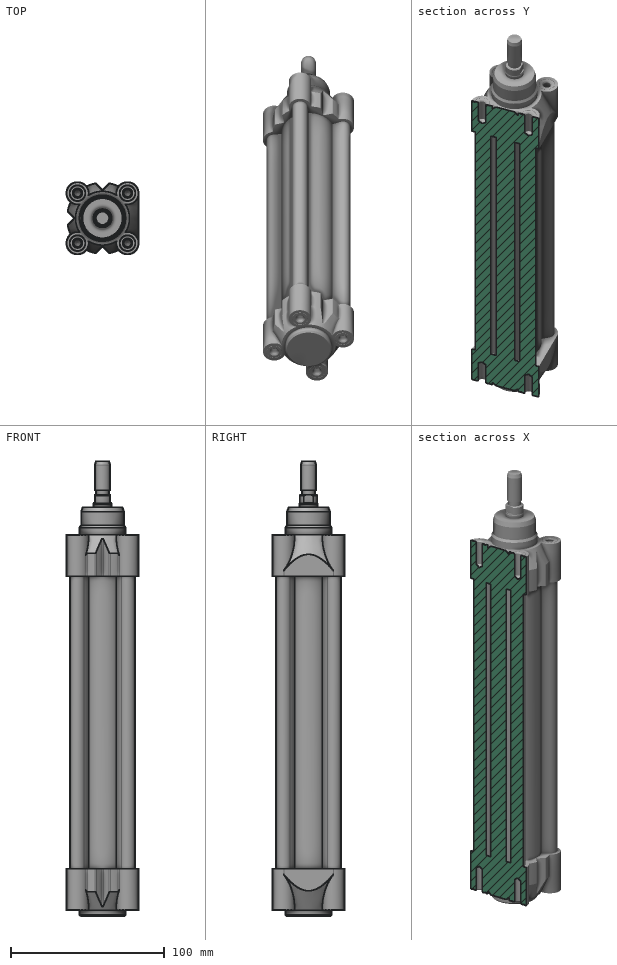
import cadquery as cq
import math


body_length = 244.0
head_length = 27.0
front_face_z = body_length
barrel_length = body_length - 2 * head_length

head_width = 47.0
screw_spacing = 32.5
boss_radius = (head_width - screw_spacing) / 2
head_core_radius = 23.2
corner_fillet = 0.8
cone_top_radius = 17.5
cone_length = 12.0
notch_vertex = 18.3
notch_half_angle = 45.0
sharp_side_x = 14.0

screw_head_diameter = 10.0
counterbore_diameter = 10.3
screw_gap_depth = 0.5
thread_diameter = 4.92
thread_mouth_diameter = 6.3
thread_depth = 16.0
drill_point_angle = 118.0

barrel_radius = 17.6
lobe_radius = 5.0
web_outer_x = 12.1
web_inner_x = 9.1

collar_diameter = 30.0
rear_collar_length = 4.0
collar_chamfer = 1.0
front_collar_length = 4.7
shoulder_length = 1.6
nose_diameter = 28.0
nose_top_diameter = 26.0
nose_bevel_length = 3.0
nose_height = 18.0

rod_diameter = 12.0
rod_insertion = head_length
rod_shoulder_height = 26.0
neck_edge_chamfer = 0.5
neck_diameter = 11.6
neck_length = 5.4
neck_taper_length = 0.6
thread_end_length = 22.0
thread_end_diameter = 10.0
undercut_diameter = 8.57
undercut_length = 3.0
tip_diameter = 8.57
tip_bevel_length = 2.4
flats_width = 10.0
flats_length = 5.0


def revolved(points):
    """Solid of revolution about Z from (radius, z) points."""
    return cq.Workplane("XZ").polyline(points).close().revolve(360, (0, 0, 0), (0, 1, 0))


def cylinder(radius, z, length):
    return cq.Workplane("XY").workplane(offset=z).circle(radius).extrude(length)


def corner_bosses(radius, z, length):
    return (cq.Workplane("XY").workplane(offset=z)
            .rect(screw_spacing, screw_spacing, forConstruction=True).vertices()
            .circle(radius).extrude(length))


def make_v_notch():
    """V-shaped groove along the middle of the -Y side of a head."""
    depth = boss_radius
    half_width = depth * math.tan(math.radians(notch_half_angle))
    return (cq.Workplane("XY")
            .moveTo(0, -notch_vertex)
            .lineTo(half_width, -notch_vertex - depth)
            .lineTo(-half_width, -notch_vertex - depth)
            .close().extrude(head_length))


def make_screw_socket():
    """Threaded hole with conical mouth and drill point, and the gap around the screw head."""
    thread_radius = thread_diameter / 2
    mouth_radius = thread_mouth_diameter / 2
    mouth_depth = mouth_radius - thread_radius
    point_depth = thread_radius / math.tan(math.radians(drill_point_angle / 2))
    hole = revolved([
        (0, 0),
        (mouth_radius, 0),
        (thread_radius, -mouth_depth),
        (thread_radius, -thread_depth),
        (0, -thread_depth - point_depth),
    ])
    gap = (cq.Workplane("XY").circle(counterbore_diameter / 2).circle(screw_head_diameter / 2)
           .extrude(-screw_gap_depth))
    return hole.add(gap).combine()


def make_head_outline():
    """Full-length head with rounded corners along Z, before the bevel."""
    outline = cylinder(head_core_radius, 0, head_length)
    for angle in (0, -90, 180):
        outline = outline.cut(make_v_notch().rotate((0, 0, 0), (0, 0, 1), angle))
    outline = outline.union(corner_bosses(boss_radius, 0, head_length))
    flat_side = cq.Workplane("XY").box(
        head_width / 2, screw_spacing, head_length, centered=(False, True, False))
    rounded_side = cq.selectors.BoxSelector(
        (-head_width, -head_width, -head_length),
        (sharp_side_x, head_width, 2 * head_length))
    return outline.union(flat_side).edges("|Z").edges(rounded_side).fillet(corner_fillet)


def make_head():
    """Head with its mounting face up at Z = head_length and its barrel side at Z = 0."""
    cone_slope = (head_core_radius - cone_top_radius) / cone_length
    rim_depth = (head_width - cone_top_radius) / cone_slope
    bevel = revolved([
        (cone_top_radius, head_length),
        (head_width, head_length),
        (head_width, head_length - rim_depth),
    ])
    bevel = bevel.cut(corner_bosses(boss_radius, -head_length, 2 * head_length))
    head = make_head_outline().cut(bevel)
    socket = make_screw_socket()
    for x in (-screw_spacing / 2, screw_spacing / 2):
        for y in (-screw_spacing / 2, screw_spacing / 2):
            head = head.cut(socket.translate((x, y, head_length)))
    return head


def make_barrel():
    """Round barrel with four corner lobes joined to it by sloping webs."""
    center = screw_spacing / 2
    lobe_y = center + math.sqrt(lobe_radius ** 2 - (center - web_outer_x) ** 2)
    barrel_y = math.sqrt(barrel_radius ** 2 - web_inner_x ** 2)
    barrel = cylinder(barrel_radius, 0, barrel_length)
    barrel = barrel.union(corner_bosses(lobe_radius, 0, barrel_length))
    web = (cq.Workplane("XY")
           .polyline([
               (0, 0),
               (barrel_y, web_inner_x),
               (lobe_y, web_outer_x),
               (center, center),
               (web_outer_x, lobe_y),
               (web_inner_x, barrel_y),
           ])
           .close().extrude(barrel_length))
    for quarter in range(4):
        barrel = barrel.union(web.rotate((0, 0, 0), (0, 0, 1), 90 * quarter))
    return barrel


def make_front_collar():
    """Collar, conical shoulder and bevelled nose, standing on Z = 0."""
    return revolved([
        (0, 0),
        (collar_diameter / 2, 0),
        (collar_diameter / 2, front_collar_length),
        (nose_diameter / 2, front_collar_length + shoulder_length),
        (nose_diameter / 2, nose_height - nose_bevel_length),
        (nose_top_diameter / 2, nose_height),
        (0, nose_height),
    ])


def make_rear_collar():
    """Collar under Z = 0 with a chamfered rim."""
    collar = cylinder(collar_diameter / 2, -rear_collar_length, rear_collar_length)
    return collar.faces("<Z").chamfer(collar_chamfer)


def make_housing():
    """Barrel, two mirrored heads and both collars, with the hole that holds the rod."""
    front_head = make_head().translate((0, 0, body_length - head_length))
    rear_head = make_head().mirror("XY").translate((0, 0, head_length))
    housing = make_barrel().translate((0, 0, head_length))
    housing = housing.union(front_head).union(rear_head)
    housing = housing.union(make_front_collar().translate((0, 0, front_face_z)))
    housing = housing.union(make_rear_collar())
    rod_hole = cylinder(rod_diameter / 2, front_face_z - rod_insertion, rod_insertion + nose_height)
    return housing.cut(rod_hole)


def make_rod():
    """Piston rod with a necked stretch, two wrench flats, an undercut and a bevelled threaded end."""
    shoulder = rod_shoulder_height
    tip = shoulder + thread_end_length
    rod_radius = rod_diameter / 2
    neck_radius = neck_diameter / 2
    rod = revolved([
        (0, -rod_insertion),
        (rod_radius, -rod_insertion),
        (rod_radius, shoulder - neck_length - neck_taper_length),
        (neck_radius, shoulder - neck_length),
        (neck_radius, shoulder - neck_edge_chamfer),
        (neck_radius - neck_edge_chamfer, shoulder),
        (undercut_diameter / 2, shoulder),
        (undercut_diameter / 2, shoulder + undercut_length),
        (thread_end_diameter / 2, shoulder + undercut_length),
        (thread_end_diameter / 2, tip - tip_bevel_length),
        (tip_diameter / 2, tip),
        (0, tip),
    ])
    flat_cutter = cq.Workplane("XY").box(rod_diameter, rod_diameter, flats_length, centered=(False, True, False))
    flat_cutter = flat_cutter.translate((flats_width / 2, 0, shoulder - flats_length))
    for angle in (0, 180):
        rod = rod.cut(flat_cutter.rotate((0, 0, 0), (0, 0, 1), angle))
    return rod.translate((0, 0, front_face_z))


housing = make_housing()
rod = make_rod()
result = cq.Compound.makeCompound([housing.val(), rod.val()])